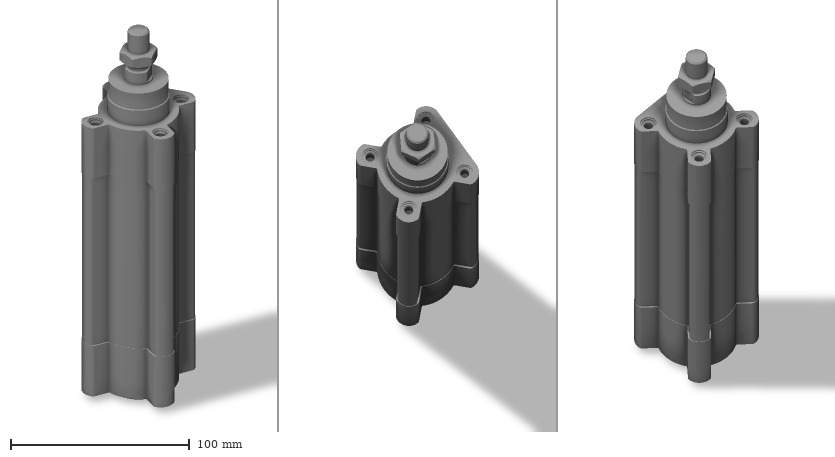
import cadquery as cq
import math


REAR_CAP_BOTTOM = 4.0
BARREL_BOTTOM = 36.9
BARREL_TOP = 146.3
FRONT_CAP_TOP = 179.3
COLLAR_BOTTOM = 189.7
COLLAR_TOP = 200.1
TOTAL_HEIGHT = 232.0

WIDTH = 54.0
LOBE_OFFSET = 19.0
CAP_REACH = WIDTH / 2
CAP_CORE_RADIUS = 22.7
CAP_ARM_HALF_WIDTH = 6.5
BARREL_INSET = 0.2
BARREL_REACH = CAP_REACH - BARREL_INSET
BARREL_CORE_RADIUS = CAP_CORE_RADIUS - BARREL_INSET
BARREL_ARM_HALF_WIDTH = 5.5
LOBE_BLEND_RADIUS = 2.3
ARM_ROOT_RADIUS = 0.7
FLAT_SIDE_DEPTH = 14.0
ARM_ANGLES = (45, 135, 225, 315)
ROOT_TOLERANCE = 0.02

BOSS_DIAMETER = 35.0
REAR_BOSS_CHAMFER = 0.7
FRONT_BOSS_CHAMFER = 0.5
COLLAR_DIAMETER = 33.9
COLLAR_WAIST_DIAMETER = 33.5

SCREW_BORE_MOUTH_DIAMETER = 9.5
SCREW_BORE_DIAMETER = 9.0
SCREW_BORE_DEPTH = 1.0
SCREW_RECESS_DIAMETER = 7.7
SCREW_RECESS_DEPTH = 1.9
THREAD_MOUTH_DIAMETER = 6.0
THREAD_DIAMETER = 4.9
THREAD_DEPTH = 9.3
DRILL_POINT_ANGLE = 118.0

ROD_DIAMETER = 16.0
ROD_BOTTOM = BARREL_TOP
ROD_SHOULDER = 207.8
FLATS_WIDTH = 13.0
FLATS_BOTTOM = 201.3
NECK_DIAMETER = 11.4
NECK_WAIST_DIAMETER = 10.7
NECK_WAIST_HEIGHT = 209.2
NECK_TOP = 212.0
ROD_THREAD_DIAMETER = 12.0
ROD_TIP_CHAMFER = 1.0

NUT_WIDTH = 19.0
NUT_BOTTOM = 212.5
NUT_TOP = 219.0
NUT_CHAMFER_ANGLE = 30.0


def disc(diameter, bottom, top):
    """Vertical cylinder on the central axis."""
    return cq.Workplane("XY").workplane(offset=bottom).circle(diameter / 2).extrude(top - bottom)


def turn_about_z(shape, angle):
    return shape.rotate((0, 0, 0), (0, 0, 1), angle)


def revolve_profile(outline):
    """Close an outline of radius and height, and revolve it around Z."""
    return outline.close().revolve(360, (0, 0), (0, 1))



def arm(half_width, reach, height):
    """Arm along +X with a round end, blended into its parallel sides."""
    lobe_distance = LOBE_OFFSET * math.sqrt(2)
    lobe_radius = reach - LOBE_OFFSET
    side_end = lobe_distance + math.sqrt(lobe_radius**2 - half_width**2)
    return (
        cq.Workplane("XY")
        .moveTo(0, -half_width)
        .lineTo(side_end, -half_width)
        .threePointArc((lobe_distance + lobe_radius, 0), (side_end, half_width))
        .lineTo(0, half_width)
        .close()
        .extrude(height)
        .edges("|Z")
        .edges(">X")
        .fillet(LOBE_BLEND_RADIUS)
    )


def lobed_block(core_radius, arm_half_width, reach, bottom, top):
    """Round core with four diagonal arms, filled in flush between the two +Y arms."""
    height = top - bottom
    core = cq.Workplane("XY").circle(core_radius).extrude(height)
    block = turn_about_z(core, ARM_ANGLES[0])
    for angle in ARM_ANGLES:
        block = block.union(turn_about_z(arm(arm_half_width, reach, height), angle))
    flat_side = cq.Workplane("XY").center(0, reach - FLAT_SIDE_DEPTH / 2)
    block = block.union(flat_side.rect(2 * LOBE_OFFSET, FLAT_SIDE_DEPTH).extrude(height))

    def is_arm_root(edge):
        center = edge.Center()
        return abs(math.hypot(center.x, center.y) - core_radius) < ROOT_TOLERANCE

    block = block.edges("|Z").filter(is_arm_root).fillet(ARM_ROOT_RADIUS)
    return block.translate((0, 0, bottom))


def cap(bottom, top):
    return lobed_block(CAP_CORE_RADIUS, CAP_ARM_HALF_WIDTH, CAP_REACH, bottom, top)


def barrel():
    return lobed_block(BARREL_CORE_RADIUS, BARREL_ARM_HALF_WIDTH, BARREL_REACH, BARREL_BOTTOM, BARREL_TOP)


def collar():
    """Collar with a slightly concave side."""
    radius = COLLAR_DIAMETER / 2
    waist = (COLLAR_WAIST_DIAMETER / 2, (COLLAR_BOTTOM + COLLAR_TOP) / 2)
    return revolve_profile(
        cq.Workplane("XZ")
        .moveTo(0, COLLAR_BOTTOM)
        .lineTo(radius, COLLAR_BOTTOM)
        .threePointArc(waist, (radius, COLLAR_TOP))
        .lineTo(0, COLLAR_TOP)
    )


def screw_hole():
    """Stepped hole with a drill point, going down from the origin."""
    mouth_chamfer = (SCREW_BORE_MOUTH_DIAMETER - SCREW_BORE_DIAMETER) / 2
    thread_chamfer = (THREAD_MOUTH_DIAMETER - THREAD_DIAMETER) / 2
    point_depth = THREAD_DIAMETER / 2 / math.tan(math.radians(DRILL_POINT_ANGLE / 2))
    return revolve_profile(
        cq.Workplane("XZ")
        .lineTo(SCREW_BORE_MOUTH_DIAMETER / 2, 0)
        .lineTo(SCREW_BORE_DIAMETER / 2, -mouth_chamfer)
        .lineTo(SCREW_BORE_DIAMETER / 2, -SCREW_BORE_DEPTH)
        .lineTo(SCREW_RECESS_DIAMETER / 2, -SCREW_BORE_DEPTH)
        .lineTo(SCREW_RECESS_DIAMETER / 2, -SCREW_RECESS_DEPTH)
        .lineTo(THREAD_MOUTH_DIAMETER / 2, -SCREW_RECESS_DEPTH)
        .lineTo(THREAD_DIAMETER / 2, -SCREW_RECESS_DEPTH - thread_chamfer)
        .lineTo(THREAD_DIAMETER / 2, -THREAD_DEPTH)
        .lineTo(0, -THREAD_DEPTH - point_depth)
    )


def make_housing():
    rear_boss = disc(BOSS_DIAMETER, 0, REAR_CAP_BOTTOM).faces("<Z").chamfer(REAR_BOSS_CHAMFER)
    front_boss = disc(BOSS_DIAMETER, FRONT_CAP_TOP, COLLAR_BOTTOM).faces(">Z").chamfer(FRONT_BOSS_CHAMFER)
    body = cap(REAR_CAP_BOTTOM, BARREL_BOTTOM).union(rear_boss)
    body = body.union(barrel())
    body = body.union(cap(BARREL_TOP, FRONT_CAP_TOP))
    body = body.union(front_boss).union(collar())
    for x in (-LOBE_OFFSET, LOBE_OFFSET):
        for y in (-LOBE_OFFSET, LOBE_OFFSET):
            body = body.cut(screw_hole().translate((x, y, FRONT_CAP_TOP)))
    rod_bore = disc(ROD_DIAMETER, ROD_BOTTOM, COLLAR_TOP)
    return body.cut(rod_bore)



def rod_neck():
    return revolve_profile(
        cq.Workplane("XZ")
        .moveTo(0, ROD_SHOULDER)
        .lineTo(NECK_DIAMETER / 2, ROD_SHOULDER)
        .lineTo(NECK_WAIST_DIAMETER / 2, NECK_WAIST_HEIGHT)
        .lineTo(NECK_DIAMETER / 2, NECK_TOP)
        .lineTo(0, NECK_TOP)
    )


def make_rod():
    shank = disc(ROD_DIAMETER, ROD_BOTTOM, FLATS_BOTTOM)
    slab = (
        cq.Workplane("XY")
        .workplane(offset=FLATS_BOTTOM)
        .rect(FLATS_WIDTH, ROD_DIAMETER)
        .extrude(ROD_SHOULDER - FLATS_BOTTOM)
    )
    flats = disc(ROD_DIAMETER, FLATS_BOTTOM, ROD_SHOULDER).intersect(slab)
    thread = disc(ROD_THREAD_DIAMETER, NECK_TOP, TOTAL_HEIGHT).faces(">Z").chamfer(ROD_TIP_CHAMFER)
    return shank.union(flats).union(rod_neck()).union(thread)



def make_nut():
    corner_diameter = NUT_WIDTH / math.cos(math.pi / 6)
    bevel_width = (corner_diameter - NUT_WIDTH) / 2
    bevel_height = bevel_width * math.tan(math.radians(NUT_CHAMFER_ANGLE))
    hexagon = (
        cq.Workplane("XY")
        .workplane(offset=NUT_BOTTOM)
        .polygon(6, corner_diameter)
        .extrude(NUT_TOP - NUT_BOTTOM)
    )
    blank = disc(corner_diameter, NUT_BOTTOM, NUT_TOP).faces("<Z or >Z").chamfer(bevel_height, bevel_width)
    thread_hole = disc(ROD_THREAD_DIAMETER, NUT_BOTTOM, NUT_TOP)
    return turn_about_z(hexagon, 30).intersect(blank).cut(thread_hole)


housing = make_housing()
rod = make_rod()
nut = make_nut()
result = cq.Compound.makeCompound([housing.val(), rod.val(), nut.val()])